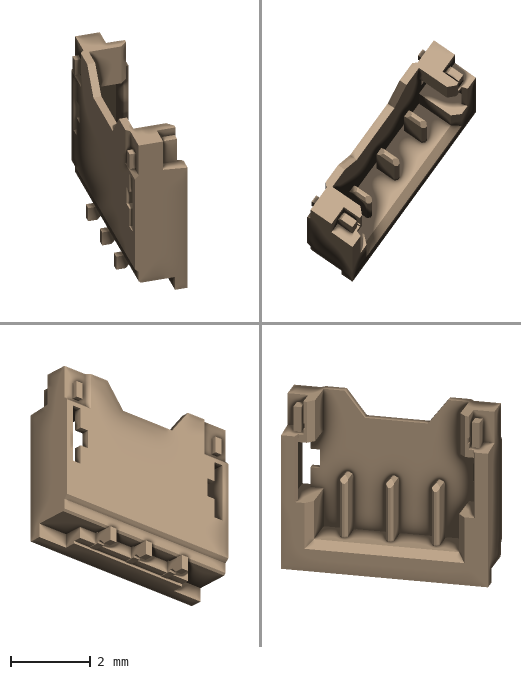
import cadquery as cq
import math


width = 5.4
depth = 1.4
height = 4.495
front_wall = 0.21
floor_top = 0.8
half_width = width / 2

cavity_half_width = 1.895
lead_in_depth = 0.205
lead_in_side = 0.19

underside = 0.385
base_setback = 0.1
setback_bottom = 0.715
base_edge_chamfer = 0.055
foot_depth = 0.335
block_half_width = 1.81
block_front = 0.525
block_step_y = 0.75
block_step_height = 0.07

notch_depth = 0.68
notch_top_half_width = 1.35
notch_bottom_half_width = 0.82
corner_width = 0.7
corner_height = 0.89
corner_depth = 0.1

window_bottom = 1.825
window_top = 3.39
window_outer_x = half_width - 0.195
window_inner_x = half_width - 0.455
side_notch_x = half_width - 0.7
side_notch_bottom = 2.35
side_notch_top = 2.85
latch_tip_x = half_width - 0.405
latch_slope = 30.0
flare_outer_x = half_width - 0.355

post_back = 1.25
wing_front = 0.75
wing_outer_x = half_width - 0.54
wing_chamfer = 0.175
shoulder_back_z = 3.59
shoulder_front_z = 3.645
wing_notch_bottom = 3.75
wing_notch_height = 0.155
wing_notch_length = 0.16
wing_notch_depth = 0.025

metal_width = 0.2
lead_front = -0.055
embed = 0.055
terminal_pitch = 1.2
tail_top = 0.35
tail_bottom = -0.04
tail_neck_back = 0.455
tail_sole_back = 0.195
tail_arch_front = 0.32
tail_arch_back = 0.4
tail_arch_z = 0.1
tail_heel_front = 0.42
tail_heel_z = 0.055
pin_front = 0.315
pin_back = 0.925
pin_top = 2.43
pin_ridge_width = 0.045
pin_ridge_front = 0.47
pin_ridge_back = 0.75
pin_corner_chamfer = 0.065
terminal_slot_width = 0.1
terminal_slot_depth = 0.025
fitting_x = half_width - 0.37
fitting_bottom = 3.65
fitting_leg_top = 4.095
fitting_top = 4.32
fitting_back = 1.205
fitting_front = 0.805
fitting_step_z = 4.06


def box(x0, x1, y0, y1, z0, z1):
    return cq.Workplane("XY").box(x1 - x0, y1 - y0, z1 - z0, centered=False).translate((x0, y0, z0))


def extrude_x(yz_points, x0, x1):
    return cq.Workplane("YZ", origin=(x0, 0, 0)).polyline(yz_points).close().extrude(x1 - x0)


def extrude_y(xz_points, y0, y1):
    return cq.Workplane("XZ", origin=(0, y1, 0)).polyline(xz_points).close().extrude(y1 - y0)


def extrude_z(xy_points, z0, z1):
    return cq.Workplane("XY", origin=(0, 0, z0)).polyline(xy_points).close().extrude(z1 - z0)


def both_sides(right_half):
    return right_half.union(right_half.mirror("YZ"))


def shell_block():
    setback_top = setback_bottom + base_setback
    foot_front = depth - foot_depth
    profile = [
        (0, height),
        (0, setback_top),
        (base_setback, setback_bottom),
        (base_setback, underside + base_edge_chamfer),
        (base_setback + base_edge_chamfer, underside),
        (foot_front, underside),
        (foot_front, 0),
        (depth, 0),
        (depth, height),
    ]
    block_profile = [
        (block_front, underside + embed),
        (block_front, block_step_height),
        (block_step_y, block_step_height),
        (block_step_y, 0),
        (foot_front + embed, 0),
        (foot_front + embed, underside + embed),
    ]
    shell = extrude_x(profile, -half_width, half_width)
    return shell.union(extrude_x(block_profile, -block_half_width, block_half_width))


def cavity():
    """Main cavity with a 45 degree floor lead-in and splayed sides at the back."""
    space = box(-cavity_half_width, cavity_half_width, front_wall, depth, floor_top, height)
    mouth_half_width = cavity_half_width + lead_in_side
    mouth = (
        cq.Workplane("XZ", origin=(0, depth, 0))
        .polyline([
            (-mouth_half_width, floor_top - lead_in_depth),
            (mouth_half_width, floor_top - lead_in_depth),
            (mouth_half_width, height),
            (-mouth_half_width, height),
        ])
        .close()
        .workplane(offset=lead_in_depth)
        .polyline([
            (-cavity_half_width, floor_top),
            (cavity_half_width, floor_top),
            (cavity_half_width, height),
            (-cavity_half_width, height),
        ])
        .close()
        .loft(ruled=True)
    )
    return space.union(mouth)


def wire_notch():
    bottom = height - notch_depth
    outline = [
        (-notch_top_half_width, height),
        (-notch_bottom_half_width, bottom),
        (notch_bottom_half_width, bottom),
        (notch_top_half_width, height),
    ]
    return extrude_y(outline, 0, front_wall)


def corner_recess():
    """Shallow front recess whose two inner edges slope out at 45 degrees."""
    deep_x = half_width - corner_width
    deep_z = height - corner_height
    return (
        cq.Workplane("XZ")
        .polyline([
            (half_width, height),
            (deep_x - corner_depth, height),
            (deep_x - corner_depth, deep_z - corner_depth),
            (half_width, deep_z - corner_depth),
        ])
        .close()
        .workplane(offset=-corner_depth)
        .polyline([(half_width, height), (deep_x, height), (deep_x, deep_z), (half_width, deep_z)])
        .close()
        .loft(ruled=True)
    )


def side_window():
    """Window through the front wall, opening behind it into the cavity and out of the back."""
    slot = box(window_inner_x, window_outer_x, 0, front_wall, window_bottom, window_top)
    notch = box(side_notch_x, window_outer_x, 0, front_wall, side_notch_bottom, side_notch_top)
    latch_rise = (window_outer_x - latch_tip_x) * math.tan(math.radians(latch_slope))
    pocket_outline = [
        (cavity_half_width, front_wall),
        (window_outer_x, front_wall),
        (window_outer_x, post_back - latch_rise),
        (latch_tip_x, post_back),
        (flare_outer_x, depth),
        (cavity_half_width, depth),
    ]
    back_outline = [
        (cavity_half_width, post_back),
        (latch_tip_x, post_back),
        (flare_outer_x, depth),
        (cavity_half_width, depth),
    ]
    pocket = extrude_z(pocket_outline, window_bottom, window_top)
    back_opening = extrude_z(back_outline, window_bottom, height)
    return slot.union(notch).union(pocket).union(back_opening)


def post_relief():
    """Material removed behind and outside the upper post, above the sloping shoulder."""
    slope = (shoulder_front_z - shoulder_back_z) / (depth - wing_front)
    post_back_z = shoulder_back_z + slope * (depth - post_back)
    outside = extrude_x(
        [(wing_front, height), (wing_front, shoulder_front_z), (depth, shoulder_back_z), (depth, height)],
        wing_outer_x,
        half_width,
    )
    behind = extrude_x(
        [(post_back, height), (post_back, post_back_z), (depth, shoulder_back_z), (depth, height)],
        cavity_half_width,
        half_width,
    )
    chamfer = extrude_z(
        [
            (cavity_half_width, post_back - wing_chamfer),
            (cavity_half_width + wing_chamfer, post_back),
            (cavity_half_width, post_back),
        ],
        window_top,
        height,
    )
    wing_notch = box(
        wing_outer_x - wing_notch_depth,
        wing_outer_x,
        post_back - wing_notch_length,
        post_back,
        wing_notch_bottom,
        wing_notch_bottom + wing_notch_height,
    )
    return outside.union(behind).union(chamfer).union(wing_notch)


def fitting():
    """Solder fitting: a leg on the front and a hooked tab behind the post."""
    x0 = fitting_x - metal_width / 2
    x1 = fitting_x + metal_width / 2
    leg = box(x0, x1, lead_front, corner_depth + embed, fitting_bottom, fitting_leg_top)
    step = fitting_front - wing_front
    tab_profile = [
        (wing_front - embed, fitting_bottom),
        (fitting_back, fitting_bottom),
        (fitting_back, fitting_top),
        (fitting_front + step, fitting_top),
        (fitting_front, fitting_top - step),
        (fitting_front, fitting_step_z + step),
        (wing_front, fitting_step_z),
        (wing_front - embed, fitting_step_z),
    ]
    return leg.union(extrude_x(tab_profile, x0, x1))


def solder_tail():
    """Lead that runs out under the shell and bends down to the front."""
    profile = [
        (lead_front, tail_top),
        (tail_neck_back, tail_top),
        (tail_neck_back, underside + embed),
        (block_step_y, underside + embed),
        (block_step_y, tail_heel_z),
        (tail_heel_front, tail_heel_z),
        (tail_arch_back, tail_arch_z),
        (tail_arch_front, tail_arch_z),
        (tail_sole_back, tail_bottom),
        (lead_front, tail_bottom),
    ]
    return extrude_x(profile, -metal_width / 2, metal_width / 2)


def contact_pin():
    """Upright pin with a 45 degree tip that ends in a narrow ridge."""
    half = metal_width / 2
    ridge_half = pin_ridge_width / 2
    shoulder_z = pin_top - (half - ridge_half)
    root = floor_top - embed
    plan = [
        (-half, pin_front),
        (half, pin_front),
        (half, pin_back - pin_corner_chamfer),
        (half - pin_corner_chamfer, pin_back),
        (-half + pin_corner_chamfer, pin_back),
        (-half, pin_back - pin_corner_chamfer),
    ]
    side_profile = [
        (pin_front, root),
        (pin_front, pin_top - (pin_ridge_front - pin_front)),
        (pin_ridge_front, pin_top),
        (pin_ridge_back, pin_top),
        (pin_back, pin_top - (pin_back - pin_ridge_back)),
        (pin_back, root),
    ]
    front_profile = [
        (-half, root),
        (-half, shoulder_z),
        (-ridge_half, pin_top),
        (ridge_half, pin_top),
        (half, shoulder_z),
        (half, root),
    ]
    pin = extrude_z(plan, root, pin_top)
    pin = pin.intersect(extrude_x(side_profile, -half, half))
    return pin.intersect(extrude_y(front_profile, pin_front, pin_back))


def terminal_slot():
    """Shallow tapered slot in the floor between the pin and the front wall."""
    pin_end_half = terminal_slot_width / 2
    wall_end_half = pin_end_half + pin_front - front_wall
    outline = [
        (-wall_end_half, front_wall),
        (wall_end_half, front_wall),
        (pin_end_half, pin_front),
        (-pin_end_half, pin_front),
    ]
    return extrude_z(outline, floor_top - terminal_slot_depth, floor_top)


result = shell_block().cut(cavity()).cut(wire_notch())
for side_cut in (corner_recess(), side_window(), post_relief()):
    result = result.cut(both_sides(side_cut))
result = result.union(both_sides(fitting()))
for position in (-1, 0, 1):
    offset = (position * terminal_pitch, 0, 0)
    result = result.cut(terminal_slot().translate(offset))
    result = result.union(solder_tail().translate(offset)).union(contact_pin().translate(offset))